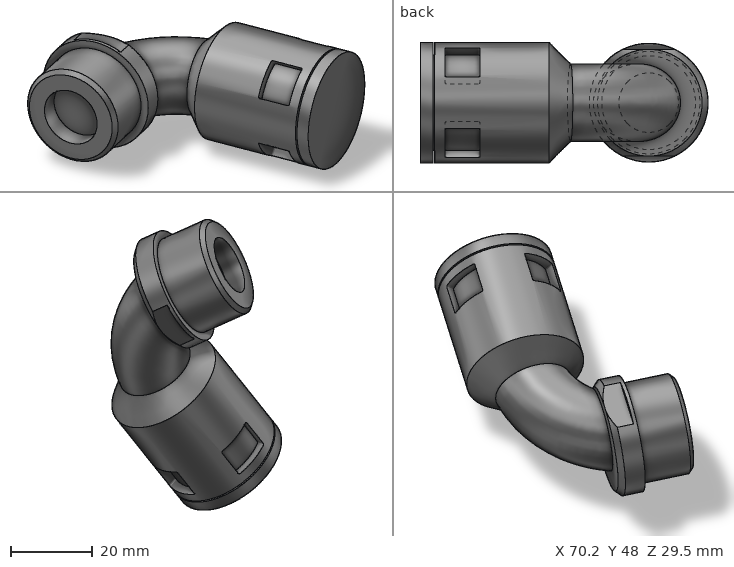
import cadquery as cq

spigot_diameter = 25.0
spigot_length = 13.0
spigot_chamfer = 1.05
bore_diameter = 14.5
bore_depth = 5.0

collar_diameter = 29.0
collar_length = 6.45
collar_chamfer = 1.5
flat_spacing = 26.0
flat_rim = 0.9

tube_diameter = 18.95
bend_radius = 24.6

total_length = 70.2
total_width = 48.0
socket_diameter = 29.5
socket_length = 31.4
cone_length = 8.4
groove_diameter = 23.4
groove_width = 0.4
end_ring_length = 3.1

window_count = 4
window_length = 8.5
window_width = 10.0
window_floor_diameter = 25.0
window_end_gap = 6.05
window_corner_radius = 0.4

spigot_x = collar_diameter / 2
socket_y = total_width - socket_diameter / 2
collar_end_y = spigot_length + collar_length


def y_cylinder(diameter, start_y, length):
    """Cylinder on the spigot axis, growing toward +Y."""
    plane = cq.Plane(origin=(spigot_x, start_y, 0), xDir=(1, 0, 0), normal=(0, 1, 0))
    return cq.Workplane(plane).circle(diameter / 2).extrude(length)


def x_cylinder(diameter, start_x, length):
    """Cylinder on the socket axis, growing toward +X."""
    plane = cq.Plane(origin=(start_x, socket_y, 0), xDir=(0, 1, 0), normal=(1, 0, 0))
    return cq.Workplane(plane).circle(diameter / 2).extrude(length)


def make_spigot():
    return y_cylinder(spigot_diameter, 0, spigot_length).faces("<Y").chamfer(spigot_chamfer)


def make_collar():
    collar = y_cylinder(collar_diameter, spigot_length, collar_length)
    collar = collar.faces(">Y").chamfer(collar_chamfer)
    flat_length = collar_length - flat_rim
    between_flats = cq.Workplane("XY").box(collar_diameter, flat_length, flat_spacing)
    between_flats = between_flats.translate((spigot_x, collar_end_y - flat_length / 2, 0))
    rim = y_cylinder(collar_diameter, spigot_length, flat_rim)
    return collar.intersect(between_flats.union(rim))


def make_bend():
    """Quarter turn from the spigot axis to the socket axis."""
    start_y = socket_y - bend_radius
    plane = cq.Plane(origin=(spigot_x, start_y, 0), xDir=(1, 0, 0), normal=(0, 1, 0))
    bend = cq.Workplane(plane).circle(tube_diameter / 2)
    bend = bend.revolve(90, (bend_radius, 0, 0), (bend_radius, 1, 0))
    keep_size = 2 * total_length
    keep = cq.Workplane("XY").box(keep_size, keep_size, keep_size)
    keep = keep.translate((0, spigot_length + keep_size / 2, 0))
    return bend.intersect(keep)


def make_socket():
    """Cone and barrel with an annular groove near the open end."""
    start_x = total_length - socket_length
    radius = socket_diameter / 2
    tip_radius = radius - cone_length
    profile = [
        (start_x - cone_length, 0),
        (start_x - cone_length, tip_radius),
        (start_x, radius),
        (total_length, radius),
        (total_length, 0),
    ]
    socket = cq.Workplane("XY").polyline(profile).close()
    socket = socket.revolve(360, (0, 0, 0), (1, 0, 0)).translate((0, socket_y, 0))
    groove_x = total_length - end_ring_length - groove_width
    groove = x_cylinder(socket_diameter, groove_x, groove_width)
    return socket.cut(groove.cut(x_cylinder(groove_diameter, groove_x, groove_width)))


def cut_windows(body):
    """Radial rectangular pockets with a cylindrical floor."""
    start_x = total_length - window_end_gap - window_length
    floor = x_cylinder(window_floor_diameter, start_x, window_length)
    for index in range(window_count):
        angle = (index + 0.5) * 360 / window_count
        cutter = cq.Workplane("XY").rect(window_length, window_width).extrude(socket_diameter)
        cutter = cutter.edges("|Z").fillet(window_corner_radius)
        cutter = cutter.rotate((0, 0, 0), (1, 0, 0), angle)
        cutter = cutter.translate((start_x + window_length / 2, socket_y, 0))
        body = body.cut(cutter.cut(floor))
    return body


body = make_spigot().union(make_collar()).union(make_bend()).union(make_socket())
body = body.cut(y_cylinder(bore_diameter, 0, bore_depth))
result = cut_windows(body)